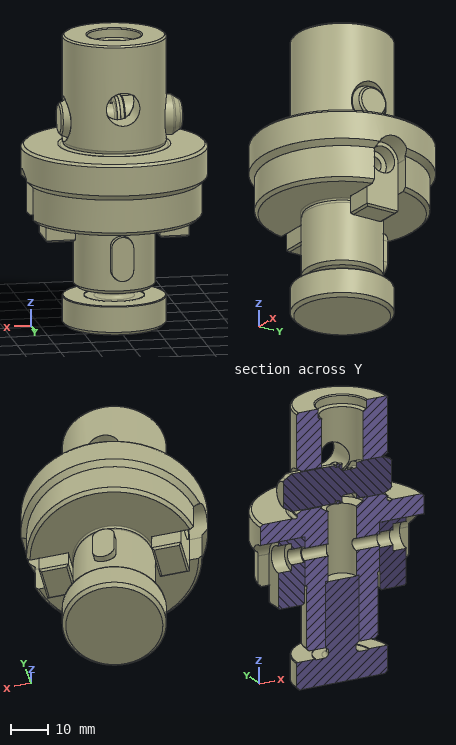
import cadquery as cq


shank_radius = 13.95
overall_length = 79.7
shank_height = 30.0
shank_chamfer = 0.5
shank_undercut_height = 1.1
shank_undercut_floor = 0.3
shank_undercut_depth = 0.2
face_groove_radius = 15.1
face_groove_width = 0.6
face_groove_depth = 0.2
undercut_fillet = 0.7

flange_radius = 25.0
flange_top_chamfer = 0.7
flange_thickness = 10.0
flange_step = 1.5
collar_radius = flange_radius - flange_step
collar_bottom = -20.0
edge_chamfer = 0.95

spigot_radius = 11.0
spigot_bottom = -38.95
spigot_undercut_height = 1.3
spigot_undercut_depth = 0.2
spigot_root_fillet = 0.5

counterbore_radius = 7.25
counterbore_depth = 2.6
counterbore_chamfer = 0.3
bore_radius = 6.2
bore_seat_depth = 0.5
bore_cone_slope = 0.6
bore_bottom = 1.2
coolant_radius = 4.2
bore_cone_height = (bore_radius - coolant_radius) * bore_cone_slope

pin_height = 7.4
pin_radius = 5.5
pin_hole_radius = 5.6
thin_end_radius = 5.25
countersink_depth = 1.6
countersink_slope = 0.6

side_hole_radius = 4.55
side_hole_height = 12.5

drive_key_width = 9.95
drive_key_inner = 11.5
drive_key_outer = 19.5
drive_key_bottom = -25.4
drive_key_chamfer = 0.55
key_screw_height = -11.0
key_screw_radius = 2.15
key_screw_head_radius = 3.8
key_screw_head_depth = 4.0
key_thread_radius = 1.7

feather_width = 6.0
feather_length = 12.1
feather_height = -29.0
feather_outer = 12.7
feather_inner = feather_outer - feather_width

thread_radius = 5.0
thread_top = collar_bottom
neck_radius = 4.2
neck_fillet = 1.2
thread_chamfer = 0.6
head_radius = shank_radius
head_top = -41.5
head_bottom = shank_height - overall_length
head_top_chamfer = 0.2
head_recess_radius = 8.1
head_recess_depth = 0.2

thick_tip = -18.0
thick_tip_radius = 3.6
thick_tip_fillet = 1.2
thick_taper_end = -17.2
thick_taper_end_radius = 4.3
thick_taper_start = -15.8
thick_taper_start_radius = 5.25
thick_body_start = -15.3
thick_body_fillet = 0.95
thick_body_end = 0.1
pin_neck_radius = 3.6
pin_neck_fillet = 0.5
thin_body_start = 4.3
thin_taper_start = 12.75
thin_taper_end = 14.65
thin_taper_end_radius = 4.4
thin_tip = 15.1
thin_tip_radius = 3.8

groove_end = -0.8
groove_width = 1.3
groove_start = groove_end - groove_width
ring_wire_radius = 0.5
ring_center = groove_end - ring_wire_radius
ring_outer_radius = 5.9
ring_mid_radius = ring_outer_radius - ring_wire_radius
groove_bottom_radius = ring_mid_radius - ring_wire_radius


def revolve_about_z(points):
    """Solid of revolution about Z from (radius, height) points."""
    return cq.Workplane("XZ").polyline(points).close().revolve(360, (0, 0), (0, 1))


def revolve_about_pin_axis(points):
    """Solid of revolution about the cross-hole axis from (x, radius) points."""
    profile = cq.Workplane("XZ", origin=(0, 0, pin_height)).polyline(points).close()
    return profile.revolve(360, (0, 0), (1, 0))


def cylinder_along_x(radius, start, end, height):
    """Cylinder on the line y = 0 at the given height, from x = start to x = end."""
    return cq.Workplane("YZ", origin=(start, 0, height)).circle(radius).extrude(end - start)


def arbor_blank():
    shank_neck_radius = shank_radius - shank_undercut_depth
    spigot_neck_radius = spigot_radius - spigot_undercut_depth
    profile = (
        cq.Workplane("XZ")
        .moveTo(0, shank_height)
        .lineTo(shank_radius - shank_chamfer, shank_height)
        .lineTo(shank_radius, shank_height - shank_chamfer)
        .lineTo(shank_radius, shank_undercut_height)
        .lineTo(shank_neck_radius, shank_undercut_floor)
        .radiusArc((face_groove_radius - face_groove_width, -face_groove_depth), -undercut_fillet)
        .lineTo(face_groove_radius, 0)
        .lineTo(flange_radius - flange_top_chamfer, 0)
        .lineTo(flange_radius, -flange_top_chamfer)
        .lineTo(flange_radius, flange_step - flange_thickness)
        .lineTo(collar_radius, -flange_thickness)
        .lineTo(collar_radius, collar_bottom + edge_chamfer)
        .lineTo(collar_radius - edge_chamfer, collar_bottom)
        .lineTo(spigot_neck_radius + spigot_root_fillet, collar_bottom)
        .radiusArc((spigot_neck_radius, collar_bottom - spigot_root_fillet), -spigot_root_fillet)
        .lineTo(spigot_radius, collar_bottom - spigot_undercut_height)
        .lineTo(spigot_radius, spigot_bottom + edge_chamfer)
        .lineTo(spigot_radius - edge_chamfer, spigot_bottom)
        .lineTo(0, spigot_bottom)
        .close()
    )
    return profile.revolve(360, (0, 0), (0, 1))


def axial_bore():
    """Counterbore, bore, drill cone, coolant hole and screw thread hole, from the top down."""
    seat_height = shank_height - counterbore_depth
    return revolve_about_z([
        (0, shank_height),
        (counterbore_radius + counterbore_chamfer, shank_height),
        (counterbore_radius, shank_height - counterbore_chamfer),
        (counterbore_radius, seat_height),
        (bore_radius, seat_height - bore_seat_depth),
        (bore_radius, bore_bottom),
        (coolant_radius, bore_bottom - bore_cone_height),
        (coolant_radius, thread_top),
        (thread_radius, thread_top),
        (thread_radius, spigot_bottom),
        (0, spigot_bottom),
    ])


def cross_hole():
    """Stepped hole right through the shank, countersunk at both mouths."""
    flare = countersink_depth * countersink_slope
    sink = shank_radius - countersink_depth
    return revolve_about_pin_axis([
        (-shank_radius, 0),
        (-shank_radius, pin_hole_radius + flare),
        (-sink, pin_hole_radius),
        (0, pin_hole_radius),
        (0, thin_end_radius),
        (sink, thin_end_radius),
        (shank_radius, thin_end_radius + flare),
        (shank_radius, 0),
    ])


def side_hole():
    plane = cq.Workplane("XZ", origin=(0, 0, side_hole_height))
    return plane.circle(side_hole_radius).extrude(-shank_radius)


def drive_key_blank(outer, bottom):
    """Round-topped block on the -X side, reaching from the key seat out to `outer`."""
    half = drive_key_width / 2
    profile = (
        cq.Workplane("YZ", origin=(-outer, 0, 0))
        .moveTo(-half, bottom)
        .lineTo(-half, key_screw_height)
        .threePointArc((0, key_screw_height + half), (half, key_screw_height))
        .lineTo(half, bottom)
        .close()
    )
    return profile.extrude(outer - drive_key_inner)


def turned(body, angle):
    """Copy of a body turned about the Z axis."""
    return body.rotate((0, 0, 0), (0, 0, 1), angle)


def make_drive_key():
    key = drive_key_blank(drive_key_outer, drive_key_bottom)
    key = key.faces("<Z").chamfer(drive_key_chamfer)
    screw_hole = cylinder_along_x(key_screw_radius, -drive_key_outer, -drive_key_inner, key_screw_height)
    head_floor = key_screw_head_depth - drive_key_outer
    head_hole = cylinder_along_x(key_screw_head_radius, -drive_key_outer, head_floor, key_screw_height)
    return key.cut(screw_hole).cut(head_hole)


def make_feather_key():
    plane = cq.Workplane("XZ", origin=(0, feather_inner, feather_height))
    return plane.slot2D(feather_length, feather_width, 90).extrude(-feather_width)


def make_retaining_screw():
    neck_top = spigot_bottom - thread_chamfer
    recess_floor = head_top - head_recess_depth
    profile = (
        cq.Workplane("XZ")
        .moveTo(0, thread_top)
        .lineTo(thread_radius, thread_top)
        .lineTo(thread_radius, spigot_bottom)
        .lineTo(neck_radius, neck_top)
        .lineTo(neck_radius, recess_floor + neck_fillet)
        .radiusArc((neck_radius + neck_fillet, recess_floor), -neck_fillet)
        .lineTo(head_recess_radius, recess_floor)
        .lineTo(head_recess_radius, head_top)
        .lineTo(head_radius - head_top_chamfer, head_top)
        .lineTo(head_radius, head_top - head_top_chamfer)
        .lineTo(head_radius, head_bottom + edge_chamfer)
        .lineTo(head_radius - edge_chamfer, head_bottom)
        .lineTo(0, head_bottom)
        .close()
    )
    return profile.revolve(360, (0, 0), (0, 1))


def make_clamping_pin():
    neck_root_radius = pin_neck_radius + pin_neck_fillet
    profile = (
        cq.Workplane("XZ", origin=(0, 0, pin_height))
        .moveTo(thick_tip, 0)
        .lineTo(thick_tip, thick_tip_radius)
        .radiusArc((thick_taper_end, thick_taper_end_radius), thick_tip_fillet)
        .lineTo(thick_taper_start, thick_taper_start_radius)
        .radiusArc((thick_body_start, pin_radius), thick_body_fillet)
        .lineTo(groove_start, pin_radius)
        .lineTo(groove_start, groove_bottom_radius)
        .lineTo(groove_end, groove_bottom_radius)
        .lineTo(groove_end, pin_radius)
        .lineTo(thick_body_end, pin_radius)
        .lineTo(thick_body_end, neck_root_radius)
        .radiusArc((thick_body_end + pin_neck_fillet, pin_neck_radius), -pin_neck_fillet)
        .lineTo(thin_body_start - pin_neck_fillet, pin_neck_radius)
        .radiusArc((thin_body_start, neck_root_radius), -pin_neck_fillet)
        .lineTo(thin_body_start, thin_end_radius)
        .lineTo(thin_taper_start, thin_end_radius)
        .lineTo(thin_taper_end, thin_taper_end_radius)
        .lineTo(thin_tip, thin_tip_radius)
        .lineTo(thin_tip, 0)
        .close()
    )
    return profile.revolve(360, (0, 0), (1, 0))


def make_sealing_ring():
    ring = cq.Solid.makeTorus(
        ring_mid_radius, ring_wire_radius, cq.Vector(ring_center, 0, pin_height), cq.Vector(1, 0, 0)
    )
    return cq.Workplane(ring)


def make_arbor(feather_key):
    arbor = arbor_blank().cut(axial_bore()).cut(cross_hole()).cut(side_hole())
    slot = drive_key_blank(flange_radius, collar_bottom)
    for angle in (0, 180):
        arbor = arbor.cut(turned(slot, angle))
    key_threads = cylinder_along_x(key_thread_radius, -flange_radius, flange_radius, key_screw_height)
    return arbor.cut(key_threads).cut(feather_key)


feather_key = make_feather_key()
arbor = make_arbor(feather_key)
drive_keys = [turned(make_drive_key(), angle) for angle in (0, 180)]
retaining_screw = make_retaining_screw()
clamping_pin = make_clamping_pin()
sealing_ring = make_sealing_ring()

result = cq.Compound.makeCompound([
    arbor.val(),
    *[key.val() for key in drive_keys],
    feather_key.val(),
    retaining_screw.val(),
    clamping_pin.val(),
    sealing_ring.val(),
])